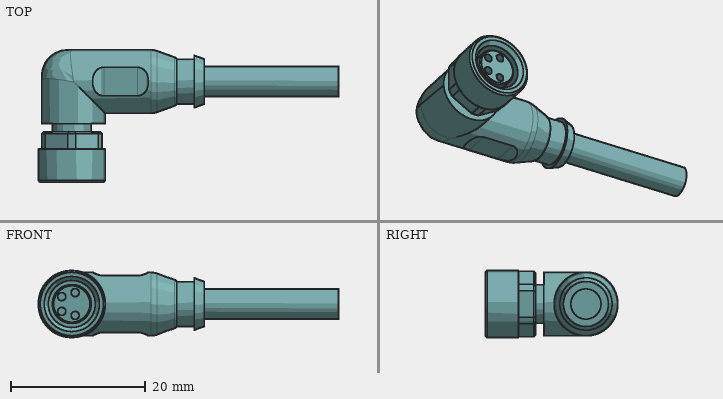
import cadquery as cq
import math

ELBOW_DIAMETER = 9.5
ELBOW_RADIUS = ELBOW_DIAMETER / 2
ELBOW_CORNER_ROUND = 4.0
JOIN_TOLERANCE = 1e-4
SOCKET_TUBE_END_Y = -6.25

CABLE_DIAMETER = 4.5
CABLE_LENGTH = 20.0
CABLE_START_X = 19.47
SLEEVE_DIAMETER = 6.7
COLLAR_LENGTH = 1.5
TAPER_ANGLE = math.radians(20)
TAPER_START_X = 11.47
TAPER_BLEND_RADIUS = 2.75
TAPER_END_X = 15.47
TAPER_END_ROUND = 0.7

GRIP_CENTER_X = 7.0
GRIP_FLOOR_LENGTH = 5.0
GRIP_DEPTH = 0.5
GRIP_END_RADIUS = 3.0

NUT_AXIS_X = -0.25
NUT_BACK_Y = -7.5
NUT_SHOULDER_Y = -10.0
NUT_FRONT_Y = -15.0
NUT_DIAMETER = 10.0
NUT_FRONT_CHAMFER = 0.3
NUT_BACK_CHAMFER = 0.1
NUT_BORE_DIAMETER = 7.0
NUT_BORE_CHAMFER = 0.6
HEX_ACROSS_FLATS = 9.0
HEX_CORNER_DIAMETER = 9.8
HEX_CHAMFER = 0.3

INSERT_DIAMETER = 5.8
INSERT_RECESS = 0.7
INSERT_CHAMFER = 0.2
INSERT_FRONT_Y = NUT_FRONT_Y + INSERT_RECESS
CONTACT_DIAMETER = 1.2
CONTACT_DEPTH = 3.0
CONTACT_OFFSETS = [(-1.5, 1.1), (0.5, 1.7)]


def cylinder_along_y(diameter, start_y, end_y):
    """Cylinder on the nut axis running towards -Y."""
    plane = cq.Plane(origin=(NUT_AXIS_X, start_y, 0), xDir=(1, 0, 0), normal=(0, -1, 0))
    return cq.Workplane(plane).circle(diameter / 2).extrude(start_y - end_y)


def trimming_prism(corners):
    """Tall prism around the elbow used to trim parts of it."""
    return cq.Workplane("XY").polyline(corners).close().extrude(ELBOW_DIAMETER, both=True)


def make_elbow():
    """Two equal tubes meeting in a sharp 45 degree mitre."""
    reach = ELBOW_DIAMETER + TAPER_START_X
    mitre_start = (-reach, reach)
    mitre_end = (reach, -reach)
    cable_side = trimming_prism([mitre_start, (reach, reach), mitre_end])
    socket_side = trimming_prism([mitre_start, (-reach, -reach), mitre_end])
    cable_tube = cq.Workplane("YZ", origin=(-ELBOW_DIAMETER, 0, 0)).circle(ELBOW_RADIUS).extrude(reach)
    socket_tube = (
        cq.Workplane("XZ", origin=(0, ELBOW_DIAMETER, 0))
        .circle(ELBOW_RADIUS)
        .extrude(ELBOW_DIAMETER - SOCKET_TUBE_END_Y)
    )
    return cable_tube.intersect(cable_side).union(socket_tube.intersect(socket_side))


def round_outer_corner(body):
    """Round the outer half of the mitre with a rolling ball.

    The rounding dies out where the mitre runs smoothly over the top and bottom, so the
    outer corner is taken off, rounded on its own and joined again.
    """
    reach = ELBOW_DIAMETER
    outer_side = trimming_prism([(reach, reach), (-reach, reach), (-reach, -reach)])
    outer_mitre = cq.selectors.BoxSelector((-reach, 0, -reach), (0, reach, reach))
    outer_half = body.intersect(outer_side).edges("%ELLIPSE").edges(outer_mitre).fillet(ELBOW_CORNER_ROUND)
    return body.cut(outer_side).union(outer_half, tol=JOIN_TOLERANCE)


def make_cable_outlet():
    """Rounded taper, sleeve, barbed collar and cable, all turned about the X axis."""
    slope = math.tan(TAPER_ANGLE)
    sleeve_radius = SLEEVE_DIAMETER / 2
    blend_end_x = TAPER_START_X + TAPER_BLEND_RADIUS * math.sin(TAPER_ANGLE)
    blend_end_radius = ELBOW_RADIUS - TAPER_BLEND_RADIUS * (1 - math.cos(TAPER_ANGLE))
    blend_middle_x = TAPER_START_X + TAPER_BLEND_RADIUS * math.sin(TAPER_ANGLE / 2)
    blend_middle_radius = ELBOW_RADIUS - TAPER_BLEND_RADIUS * (1 - math.cos(TAPER_ANGLE / 2))
    taper_end_radius = blend_end_radius - slope * (TAPER_END_X - blend_end_x)

    taper = (
        cq.Workplane("XY")
        .moveTo(TAPER_START_X, 0)
        .lineTo(TAPER_START_X, ELBOW_RADIUS)
        .threePointArc((blend_middle_x, blend_middle_radius), (blend_end_x, blend_end_radius))
        .lineTo(TAPER_END_X, taper_end_radius)
        .lineTo(TAPER_END_X, 0)
        .close()
        .revolve(360, (0, 0, 0), (1, 0, 0))
        .faces(">X")
        .edges()
        .fillet(TAPER_END_ROUND)
    )

    collar_start_x = CABLE_START_X - COLLAR_LENGTH
    cable_end_x = CABLE_START_X + CABLE_LENGTH
    cable_radius = CABLE_DIAMETER / 2
    sleeve_and_cable = (
        cq.Workplane("XY")
        .moveTo(TAPER_START_X, 0)
        .lineTo(TAPER_START_X, sleeve_radius)
        .lineTo(collar_start_x, sleeve_radius)
        .lineTo(collar_start_x, sleeve_radius + slope * COLLAR_LENGTH)
        .lineTo(CABLE_START_X, sleeve_radius)
        .lineTo(CABLE_START_X, cable_radius)
        .lineTo(cable_end_x, cable_radius)
        .lineTo(cable_end_x, 0)
        .close()
        .revolve(360, (0, 0, 0), (1, 0, 0))
    )
    return taper.union(sleeve_and_cable)


def make_grip_recess(side):
    """Cutter for a flat recess whose ends sweep up in arcs tangent to the floor."""
    floor_z = ELBOW_RADIUS - GRIP_DEPTH
    half_floor = GRIP_FLOOR_LENGTH / 2
    arc_center_z = floor_z + GRIP_END_RADIUS
    half_length = half_floor + GRIP_END_RADIUS
    diagonal = GRIP_END_RADIUS * math.sqrt(0.5)
    profile = (
        cq.Workplane("XZ", origin=(GRIP_CENTER_X, 0, 0))
        .moveTo(-half_length, arc_center_z)
        .threePointArc((-half_floor - diagonal, arc_center_z - diagonal), (-half_floor, floor_z))
        .lineTo(half_floor, floor_z)
        .threePointArc((half_floor + diagonal, arc_center_z - diagonal), (half_length, arc_center_z))
        .close()
    )
    cutter = profile.extrude(ELBOW_RADIUS, both=True)
    return cutter if side > 0 else cutter.mirror("XY")


def make_hexagon():
    """Hexagonal prism with flats facing -X and +X."""
    corner_to_corner = HEX_ACROSS_FLATS / math.cos(math.radians(30))
    return (
        cq.Workplane("XZ", origin=(NUT_AXIS_X, NUT_BACK_Y, 0))
        .transformed(rotate=(0, 0, 90))
        .polygon(6, corner_to_corner)
        .extrude(NUT_BACK_Y - NUT_SHOULDER_Y)
    )


def make_nut():
    """Round front section with a countersunk bore, and a hexagon with rounded corners behind it."""
    hexagon = (
        cylinder_along_y(HEX_CORNER_DIAMETER, NUT_BACK_Y, NUT_SHOULDER_Y)
        .intersect(make_hexagon())
        .faces(">Y")
        .chamfer(HEX_CHAMFER)
    )
    front = (
        cylinder_along_y(NUT_DIAMETER, NUT_SHOULDER_Y, NUT_FRONT_Y)
        .faces("<Y")
        .chamfer(NUT_FRONT_CHAMFER)
        .faces(">Y")
        .chamfer(NUT_BACK_CHAMFER)
        .cut(cylinder_along_y(NUT_BORE_DIAMETER, NUT_SHOULDER_Y, NUT_FRONT_Y))
        .faces("<Y")
        .edges("%CIRCLE")
        .edges(cq.selectors.RadiusNthSelector(0))
        .chamfer(NUT_BORE_CHAMFER)
    )
    return hexagon.union(front)


def make_insert():
    """Neck and contact carrier as one pin through the nut, with the contact holes."""
    contact_centers = [(x, side * z) for x, z in CONTACT_OFFSETS for side in (1, -1)]
    contacts = (
        cq.Workplane("XZ", origin=(NUT_AXIS_X, INSERT_FRONT_Y, 0))
        .pushPoints(contact_centers)
        .circle(CONTACT_DIAMETER / 2)
        .extrude(-CONTACT_DEPTH)
    )
    return (
        cylinder_along_y(INSERT_DIAMETER, SOCKET_TUBE_END_Y, INSERT_FRONT_Y)
        .faces("<Y")
        .chamfer(INSERT_CHAMFER)
        .cut(contacts)
    )


body = make_elbow().union(make_cable_outlet()).union(make_insert()).union(make_nut())
for side in (1, -1):
    body = body.cut(make_grip_recess(side))

result = round_outer_corner(body)